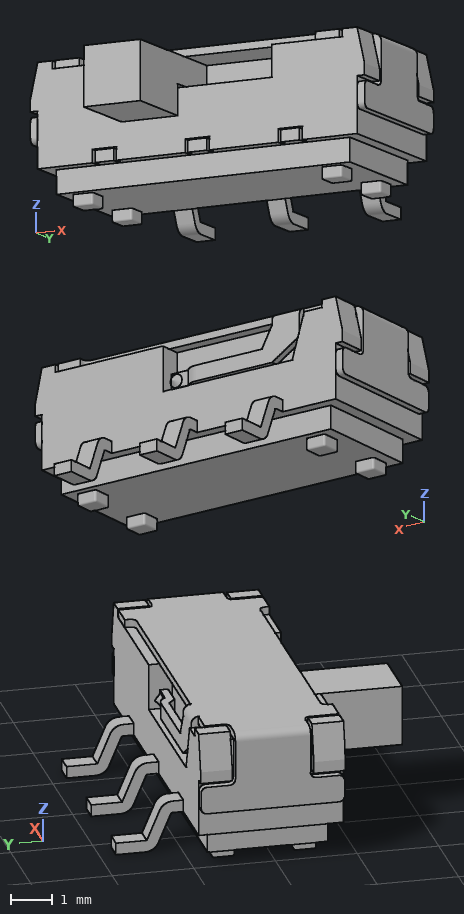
import cadquery as cq
import math


overall_length = 9.0
overall_height = 3.55
sheet = 0.2
body_depth = 3.55
body_length = overall_length - 2 * sheet
half_length = overall_length / 2
half_body = body_length / 2
half_depth = body_depth / 2
deck_z = overall_height - sheet
body_bottom_z = 0.95

base_length = 7.9
base_depth = 2.95
base_bottom_z = 0.35
peg_size = 0.55
peg_bottom_z = 0.05
peg_spacing_x = 6.7
peg_spacing_y = 2.0
peg_round = 0.05

post_inner_x = 3.9
post_inner_y = 1.0
post_bottom_z = 2.36
post_slope_height = 0.9

terminal_pitch = 2.5
terminal_width = 0.5
terminal_thickness = 0.3
terminal_reach = 1.65
terminal_slope = math.radians(67)
bend_start = 0.26
bend_inner = 0.05
bend_outer = bend_inner + terminal_thickness
terminal_notch_width = 0.65
terminal_notch_height = 0.33
terminal_notch_depth = 0.2

knob_width = 1.52
knob_height = 1.5
knob_reach = 2.0
knob_gap = 0.075
window_width = 4.0
window_floor_z = 2.55
window_depth = 1.4
neck_clearance = 0.075
neck_bottom_z = window_floor_z + neck_clearance

post_gap = 0.08
plate_half_length = post_inner_x - post_gap
tongue_half_depth = post_inner_y - post_gap
cutout_half_length = 3.18
cutout_depth = 0.26
cutout_edge_y = half_depth - cutout_depth
cover_round = 0.15
tab_top_z = 2.25
tab_bottom_z = 1.57
tab_side_inset = 0.01
tab_half_depth = half_depth - tab_side_inset

spring_outer_y = 1.69
spring_inner_y = spring_outer_y - sheet
lip_right_x = -2.38
arm_root_x = -2.08
lip_bottom_z = 2.8
arm_root_z = 3.25
arm_top_z = 2.7
arm_bottom_z = 2.3
arm_curl_start_x = -0.15
arm_curl_end_x = 0.2
arm_tip_x = 0.7
tip_outer_y = cutout_edge_y
detent_x = 0.55
detent_height = 0.16
detent_radius = 0.17
slot_left_x = -3.38
slot_floor_left_x = -3.03
slot_right_x = 0.75
slot_floor_z = 2.2
slot_inner_y = 1.2


def block(x_range, y_range, z_range):
    """Box spanning the given ranges."""
    (x0, x1), (y0, y1), (z0, z1) = x_range, y_range, z_range
    return cq.Workplane("XY").box(x1 - x0, y1 - y0, z1 - z0, centered=False).translate((x0, y0, z0))


def extrude_y(points, y_start, y_end):
    """Polygon of (x, z) points extruded between two Y positions."""
    return cq.Workplane("XZ", origin=(0, y_start, 0)).polyline(points).close().extrude(y_start - y_end)


def make_post():
    """Corner post at +X, +Y with a sloped outer face."""
    outline = [
        (post_inner_x, post_bottom_z),
        (half_length, post_bottom_z),
        (half_length, overall_height - post_slope_height),
        (half_body, overall_height),
        (post_inner_x, overall_height),
    ]
    return extrude_y(outline, post_inner_y, half_depth)


def make_terminal():
    """Gull-wing terminal at X = 0, starting flush with the front face."""
    run = terminal_thickness
    top_z = body_bottom_z + run
    inner_setback = bend_inner * math.tan(terminal_slope / 2)
    outer_setback = bend_outer * math.tan(terminal_slope / 2)
    upper_inner_y = half_depth + bend_start + inner_setback
    upper_outer_y = half_depth + bend_start + outer_setback
    slope_shift = body_bottom_z / math.tan(terminal_slope)
    end_y = half_depth + terminal_reach
    outline = [
        (-half_depth, body_bottom_z),
        (upper_inner_y, body_bottom_z),
        (upper_inner_y + slope_shift, 0),
        (end_y, 0),
        (end_y, run),
        (upper_outer_y + slope_shift, run),
        (upper_outer_y, top_z),
        (-half_depth, top_z),
    ]
    strip = (
        cq.Workplane("YZ", origin=(-terminal_width / 2, 0, 0))
        .polyline(outline).close().extrude(terminal_width)
    )

    def bend_edge(point):
        return cq.selectors.NearestToPointSelector((0, *point))

    strip = strip.edges(bend_edge(outline[1])).fillet(bend_inner)
    strip = strip.edges(bend_edge(outline[2])).fillet(bend_outer)
    return strip.edges(bend_edge(outline[6])).fillet(bend_outer)


def make_housing():
    housing = block((-half_body, half_body), (-half_depth, half_depth), (body_bottom_z, deck_z))

    post = make_post()
    left_post = post.mirror("YZ")
    for corner in (post, left_post, post.mirror("XZ"), left_post.mirror("XZ")):
        housing = housing.union(corner)

    base = block(
        (-base_length / 2, base_length / 2),
        (-base_depth / 2, base_depth / 2),
        (base_bottom_z, body_bottom_z),
    )
    housing = housing.union(base)

    pegs = (
        cq.Workplane("XY", origin=(0, 0, peg_bottom_z))
        .rarray(peg_spacing_x, peg_spacing_y, 2, 2)
        .rect(peg_size, peg_size).extrude(base_bottom_z - peg_bottom_z)
        .edges("|Z or <Z").fillet(peg_round)
    )
    housing = housing.union(pegs)

    window = block(
        (-window_width / 2, window_width / 2),
        (-half_depth, window_depth - half_depth),
        (window_floor_z, deck_z),
    )
    housing = housing.cut(window)

    slot = [
        (slot_left_x, deck_z),
        (slot_floor_left_x, slot_floor_z),
        (slot_right_x, slot_floor_z),
        (slot_right_x, deck_z),
    ]
    housing = housing.cut(extrude_y(slot, slot_inner_y, half_depth))

    notch = block(
        (-terminal_notch_width / 2, terminal_notch_width / 2),
        (-half_depth, terminal_notch_depth - half_depth),
        (body_bottom_z, body_bottom_z + terminal_notch_height),
    )
    terminal = make_terminal()
    for position in (-1, 0, 1):
        offset = (position * terminal_pitch, 0, 0)
        housing = housing.cut(notch.translate(offset)).union(terminal.translate(offset))
    return housing


def make_plate():
    """Flat top of the cover, with edge cutouts front and rear and corner notches for the posts."""
    z_range = (deck_z, overall_height)
    x_range = (-plate_half_length, plate_half_length)
    plate = block(x_range, (-half_depth, half_depth), z_range)
    tongue = block((-half_length, half_length), (-tongue_half_depth, tongue_half_depth), z_range)
    plate = plate.union(tongue)

    front_cutout = block(
        (-cutout_half_length, cutout_half_length), (-half_depth, -cutout_edge_y), z_range
    )
    rear_cutout = block(
        (-plate_half_length, cutout_half_length), (cutout_edge_y, half_depth), z_range
    )
    plate = plate.cut(front_cutout).cut(rear_cutout)

    inner_corners = [
        (side * plate_half_length, end * tongue_half_depth) for side in (-1, 1) for end in (-1, 1)
    ]
    inner_corners += [
        (-cutout_half_length, -cutout_edge_y),
        (cutout_half_length, -cutout_edge_y),
        (cutout_half_length, cutout_edge_y),
    ]
    mid_z = (deck_z + overall_height) / 2
    for x, y in inner_corners:
        plate = plate.edges(cq.selectors.NearestToPointSelector((x, y, mid_z))).fillet(cover_round)
    return plate


def make_end_tab():
    """T-shaped tab folded down over the +X end."""
    stem = block(
        (half_body, half_length), (-tongue_half_depth, tongue_half_depth), (tab_bottom_z, overall_height)
    )
    foot = block((half_body, half_length), (-tab_half_depth, tab_half_depth), (tab_bottom_z, tab_top_z))
    below_plate = cq.selectors.BoxSelector((0, -body_depth, 0), (overall_length, body_depth, deck_z))
    return stem.union(foot).edges("|X").edges(below_plate).fillet(cover_round)


def make_spring():
    """Rear lip bent down from the plate, with a side arm that curls inwards to a detent cone."""
    bend_angle = math.radians(45)
    bend_middle = (
        spring_inner_y + sheet * math.cos(bend_angle),
        deck_z + sheet * math.sin(bend_angle),
    )
    lip = (
        cq.Workplane("YZ", origin=(-cutout_half_length, 0, 0))
        .moveTo(spring_inner_y, lip_bottom_z)
        .lineTo(spring_outer_y, lip_bottom_z)
        .lineTo(spring_outer_y, deck_z)
        .threePointArc(bend_middle, (spring_inner_y, overall_height))
        .close().extrude(cutout_half_length + lip_right_x)
    )

    web = extrude_y(
        [
            (-cutout_half_length, lip_bottom_z),
            (lip_right_x, arm_bottom_z),
            (arm_root_x, arm_bottom_z),
            (arm_root_x, arm_top_z),
            (lip_right_x, arm_root_z),
            (lip_right_x, lip_bottom_z),
        ],
        spring_inner_y, spring_outer_y,
    )

    curl_drop = spring_outer_y - tip_outer_y
    arm = (
        cq.Workplane("XY", origin=(0, 0, arm_bottom_z))
        .moveTo(arm_root_x, spring_outer_y)
        .lineTo(arm_curl_start_x, spring_outer_y)
        .tangentArcPoint((arm_curl_end_x, tip_outer_y), relative=False)
        .lineTo(arm_tip_x, tip_outer_y)
        .lineTo(arm_tip_x, tip_outer_y - sheet)
        .lineTo(arm_curl_end_x - curl_drop, tip_outer_y - sheet)
        .lineTo(arm_curl_start_x, spring_inner_y)
        .lineTo(arm_root_x, spring_inner_y)
        .close().extrude(arm_top_z - arm_bottom_z)
    )
    detent = cq.Workplane(obj=cq.Solid.makeCone(
        detent_radius, 0, detent_height,
        pnt=cq.Vector(detent_x, tip_outer_y, (arm_bottom_z + arm_top_z) / 2), dir=cq.Vector(0, 1, 0),
    ))
    return lip.union(web).union(arm).union(detent)


def make_cover():
    cover = make_plate()
    tab = make_end_tab()
    cover = cover.union(tab).union(tab.mirror("YZ"))
    cover = cover.edges("|Y and >Z").edges("<X or >X").fillet(sheet)
    lip_seat = block(
        (-cutout_half_length, lip_right_x), (spring_inner_y, half_depth), (deck_z, overall_height)
    )
    return cover.cut(lip_seat).union(make_spring())


def make_slider():
    left_x = -window_width / 2
    x_range = (left_x, left_x + knob_width)
    knob = block(x_range, (-half_depth - knob_reach, -half_depth - knob_gap), (deck_z - knob_height, deck_z))
    neck = block(x_range, (-half_depth - knob_gap, window_depth - half_depth), (neck_bottom_z, deck_z))
    return knob.union(neck)


housing = make_housing()
cover = make_cover()
slider = make_slider()

result = cq.Compound.makeCompound([housing.val(), cover.val(), slider.val()])